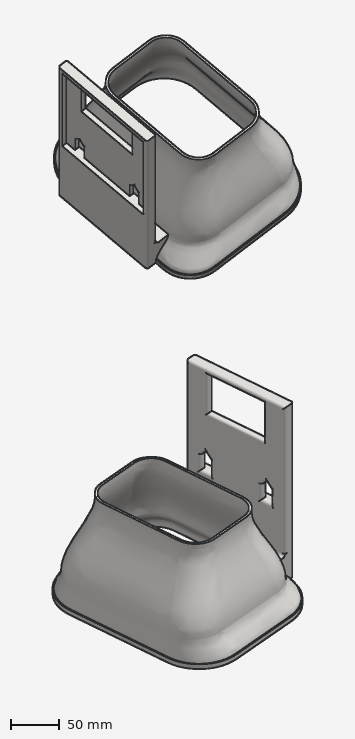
import cadquery as cq

flange_top = 6.0
waist_z = 32.0
collar_bottom = 121.0
collar_top = 127.0
wall = 3.0

base_length = 231.8
base_width = 187.7
base_shift = -6.7
base_radius = 50.0
base_tight_radius = 37.0
flange_step = 1.5
waist_length = 203.0
waist_width = 165.0
waist_radius = 37.0
collar_length = 153.0
collar_width = 102.0
collar_radius = 26.0
loft_steps = 5

plate_width = 132.5
plate_height = 219.7
plate_thickness = 13.5
plate_front = -112.9
plate_rear = plate_front + plate_thickness
front_edge_radius = 2.5
rear_edge_radius = 3.2
window_edge_radius = 2.5
notch_edge_radius = 3.7

rim = 6.0
pocket_depth = 6.0
pocket_bottom = 89.0
pocket_top = plate_height - rim
pocket_width = plate_width - 2 * rim
window_width = 76.0
window_bottom = 164.5
notch_width = 13.5
notch_straight = 19.0
notch_height = notch_straight + notch_width / 2
notch_spacing = 81.5
pick_margin = 0.2


def outline(length, width, shift, radius, tight_radius):
    """Section data of the duct: size, centre shift, common radius, radius of the +X, -Y corner."""
    return (length, width, shift, radius, tight_radius)


def inset(section, distance):
    """The same section moved inwards by a distance."""
    length, width, shift, radius, tight_radius = section
    return (length - 2 * distance, width - 2 * distance, shift, radius - distance, tight_radius - distance)


def rounded_wire(section, z):
    """Closed rounded rectangle at height z."""
    length, width, shift, radius, tight = section
    right = length / 2
    left = -right
    back = shift + width / 2
    front = shift - width / 2
    bulge = 1 - 0.5 ** 0.5
    return (
        cq.Workplane("XY", origin=(0, 0, z))
        .moveTo(left + radius, front)
        .lineTo(right - tight, front)
        .threePointArc((right - bulge * tight, front + bulge * tight), (right, front + tight))
        .lineTo(right, back - radius)
        .threePointArc((right - bulge * radius, back - bulge * radius), (right - radius, back))
        .lineTo(left + radius, back)
        .threePointArc((left + bulge * radius, back - bulge * radius), (left, back - radius))
        .lineTo(left, front + radius)
        .threePointArc((left + bulge * radius, front + bulge * radius), (left + radius, front))
        .close()
        .val()
    )


def straight_stretch(section, z_low, z_high):
    """Prism of one section."""
    wire = rounded_wire(section, z_low)
    return cq.Workplane(cq.Solid.extrudeLinear(wire, [], cq.Vector(0, 0, z_high - z_low)))


def blended_stretch(low, high, z_low, z_high):
    """S-shaped transition that leaves both end sections along Z."""
    wires = []
    for step in range(loft_steps + 1):
        t = step / loft_steps
        blend = t * t * (3 - 2 * t)
        section = [a + (b - a) * blend for a, b in zip(low, high)]
        wires.append(rounded_wire(section, z_low + (z_high - z_low) * t))
    return cq.Workplane(cq.Solid.makeLoft(wires))


def duct_body(flange, base, waist, collar):
    """Solid duct: flange, flared skirt, tapering hood and collar."""
    return (
        straight_stretch(flange, 0, flange_top)
        .union(blended_stretch(base, waist, flange_top, waist_z))
        .union(blended_stretch(waist, collar, waist_z, collar_bottom))
        .union(straight_stretch(collar, collar_bottom, collar_top))
    )


def box(width, y_low, y_high, z_low, z_high):
    """Box centred on X = 0."""
    return (
        cq.Workplane("XY", origin=(0, (y_low + y_high) / 2, z_low))
        .box(width, y_high - y_low, z_high - z_low, centered=(True, True, False))
    )


def round_rear_edges(body, x, width, z_low, z_high, radius):
    """Round the rear mouth of an opening centred on x."""
    half = width / 2 + pick_margin
    mouth = cq.selectors.BoxSelector(
        (x - half, plate_rear - pick_margin, z_low - pick_margin),
        (x + half, plate_rear + pick_margin, z_high + pick_margin),
    )
    return body.edges(mouth).fillet(radius)


def upright_plate():
    """Plate with a window, rounded along its front corners and the sides and top of the rear face."""
    body = box(plate_width, plate_front, plate_rear, 0, plate_height)
    body = body.faces("<Y").edges("|Z").fillet(front_edge_radius)
    body = body.faces(">Y").edges("|Z or >Z").fillet(rear_edge_radius)
    window = box(window_width, plate_front, plate_rear, window_bottom, pocket_top)
    body = body.cut(window)
    return round_rear_edges(body, 0, window_width, window_bottom, pocket_top, window_edge_radius)


def foot():
    """Block that ties the plate to the duct, with a cove where its top meets the plate."""
    block = box(plate_width, plate_rear - rear_edge_radius, base_shift, 0, waist_z)
    cove = (
        cq.Workplane("YZ", origin=(-plate_width / 2, plate_rear, waist_z))
        .moveTo(-rear_edge_radius, 0)
        .lineTo(rear_edge_radius, 0)
        .radiusArc((0, rear_edge_radius), rear_edge_radius)
        .lineTo(-rear_edge_radius, rear_edge_radius)
        .close()
        .extrude(plate_width)
    )
    return block.union(cove)


def pocket():
    """Shallow rectangular recess in the front face."""
    return box(pocket_width, plate_front, plate_front + pocket_depth, pocket_bottom, pocket_top)


def notch(x):
    """Through slot with a pointed top, standing on the pocket floor line."""
    half = notch_width / 2
    return (
        cq.Workplane("XZ", origin=(x, plate_front, pocket_bottom))
        .moveTo(-half, 0)
        .lineTo(half, 0)
        .lineTo(half, notch_straight)
        .lineTo(0, notch_height)
        .lineTo(-half, notch_straight)
        .close()
        .extrude(-plate_thickness)
    )


flange = outline(base_length, base_width, base_shift, base_radius, base_tight_radius)
base = inset(flange, flange_step)
waist = outline(waist_length, waist_width, 0, waist_radius, waist_radius)
collar = outline(collar_length, collar_width, 0, collar_radius, collar_radius)

outer = duct_body(flange, base, waist, collar)
cavity_base = inset(base, wall)
cavity = duct_body(cavity_base, cavity_base, inset(waist, wall), inset(collar, wall))

bracket = upright_plate().union(foot()).cut(pocket())
for x in (-notch_spacing / 2, notch_spacing / 2):
    bracket = bracket.cut(notch(x))
    bracket = round_rear_edges(
        bracket, x, notch_width, pocket_bottom, pocket_bottom + notch_height, notch_edge_radius
    )

result = outer.union(bracket).cut(cavity)